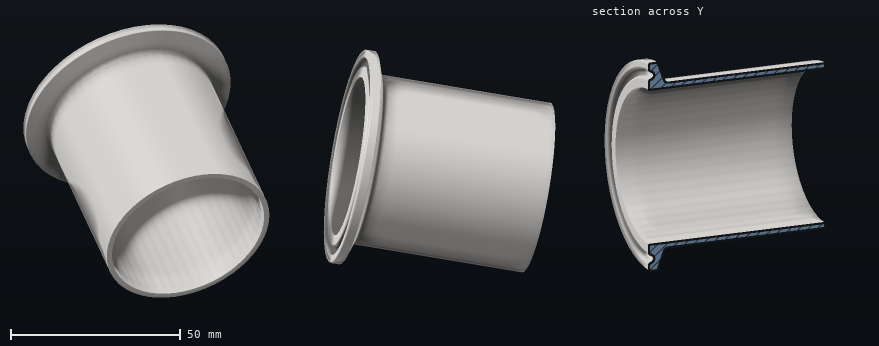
import cadquery as cq
import math

length = 57.15
flange_diameter = 63.9
tube_diameter = 50.8
bore_diameter = 47.5

rim_width = 2.9
taper_angle = 20.0
front_edge_radius = 0.5
back_edge_radius = 0.25
neck_fillet_radius = 1.3

groove_diameter = 56.4
groove_width = 3.65
groove_wall_angle = 65.0
groove_lip_radius = 0.5
groove_bottom_radius = 1.15

flange_radius = flange_diameter / 2
tube_radius = tube_diameter / 2
bore_radius = bore_diameter / 2
groove_radius = groove_diameter / 2


def make_body():
    """Flange and tube, turned about X."""
    taper_length = (flange_radius - tube_radius) * math.tan(math.radians(taper_angle))
    neck_x = rim_width + taper_length
    profile = (
        cq.Workplane("XY")
        .moveTo(0, 0)
        .lineTo(0, flange_radius)
        .lineTo(rim_width, flange_radius)
        .lineTo(neck_x, tube_radius)
        .lineTo(length, tube_radius)
        .lineTo(length, 0)
        .close()
    )
    body = profile.revolve(360, (0, 0, 0), (1, 0, 0))

    def round_edge(solid, x, radius, fillet_radius):
        margin = 0.05
        edge_box = cq.selectors.BoxSelector(
            (x - margin, -radius - margin, -radius - margin),
            (x + margin, radius + margin, radius + margin),
            boundingbox=True,
        )
        return solid.edges(edge_box).fillet(fillet_radius)

    body = round_edge(body, 0, flange_radius, front_edge_radius)
    body = round_edge(body, rim_width, flange_radius, back_edge_radius)
    return round_edge(body, neck_x, tube_radius, neck_fillet_radius)


def make_bore():
    """Through bore along X."""
    return cq.Workplane("YZ").circle(bore_radius).extrude(length)


def make_groove():
    """Ring that cuts the gasket groove; walls run tangent to the lip and bottom arcs."""
    half_width = groove_width / 2
    wall_angle = math.radians(groove_wall_angle)

    def lip_point(angle):
        depth = groove_lip_radius * (1 - math.cos(angle))
        return depth, half_width - groove_lip_radius * math.sin(angle)

    lip_end_depth, lip_end_offset = lip_point(wall_angle)
    bottom_offset = groove_bottom_radius * math.sin(wall_angle)
    wall_end_depth = lip_end_depth + (lip_end_offset - bottom_offset) * math.tan(wall_angle)
    groove_depth = wall_end_depth + groove_bottom_radius * (1 - math.cos(wall_angle))

    def inner(point):
        return point[0], groove_radius - point[1]

    def outer(point):
        return point[0], groove_radius + point[1]

    lip_start = lip_point(0)
    lip_middle = lip_point(wall_angle / 2)
    lip_end = (lip_end_depth, lip_end_offset)
    wall_end = (wall_end_depth, bottom_offset)
    profile = (
        cq.Workplane("XY")
        .moveTo(*inner(lip_start))
        .threePointArc(inner(lip_middle), inner(lip_end))
        .lineTo(*inner(wall_end))
        .threePointArc((groove_depth, groove_radius), outer(wall_end))
        .lineTo(*outer(lip_end))
        .threePointArc(outer(lip_middle), outer(lip_start))
        .close()
    )
    return profile.revolve(360, (0, 0, 0), (1, 0, 0))


result = make_body().cut(make_bore()).cut(make_groove())